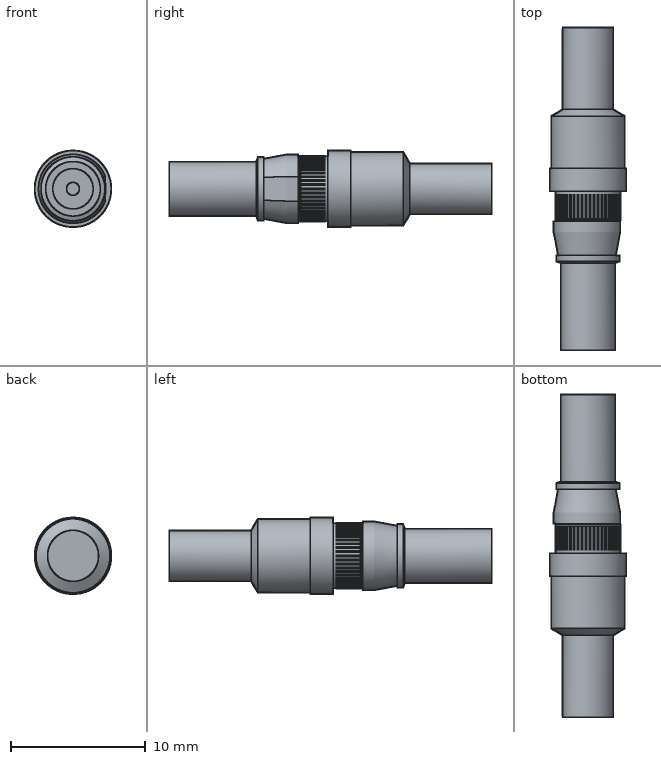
import cadquery as cq
import math

LENGTH = 24.0
FRONT_Y = -LENGTH / 2

TUBE_DIAMETER = 4.05
BORE_DIAMETER = 3.0
PIN_DIAMETER = 0.95
PIN_RECESS = 0.85
FLANGE_DIAMETER = 4.75
FLANGE_START = 6.48
FLANGE_BEVEL_LENGTH = 0.12
FLANGE_END = 7.05
BORE_DEPTH = FLANGE_START

TAPER_ANGLE = 10.5
COLLAR_DIAMETER = 5.14
COLLAR_START = 8.78
COLLAR_END = 9.6
COLLAR_FLAT_X = 2.4

RELIEF_DIAMETER = 4.8
RELIEF_END = 9.67
BAND_DIAMETER = 4.9
BAND_END = 9.8
NECK_DIAMETER = 4.85
RIB_DIAMETER = BAND_DIAMETER
RIB_START = 9.9
RIB_END = 11.57
RIB_WIDTH = 0.108
RIB_COUNT = 50

RIM_DIAMETER = 5.7
RIM_START = 11.8
RIM_END = 13.5
BODY_DIAMETER = 5.5
BODY_END = 17.4
SHOULDER_END = 17.9
TAIL_DIAMETER = 3.8


def cylinder(diameter, start, end):
    """Solid cylinder on the Y axis between two stations."""
    plane = cq.Workplane("XZ", origin=(0, FRONT_Y + start, 0))
    return plane.circle(diameter / 2).extrude(start - end)


def cone(start_diameter, start, end_diameter, end):
    """Solid cone frustum on the Y axis between two stations."""
    solid = cq.Solid.makeCone(
        start_diameter / 2,
        end_diameter / 2,
        end - start,
        pnt=cq.Vector(0, FRONT_Y + start, 0),
        dir=cq.Vector(0, 1, 0),
    )
    return cq.Workplane(solid)


def collar_outline():
    """D-shaped outline at the taper's wide end, with its flat on the +X side."""
    radius = COLLAR_DIAMETER / 2
    flat_half_height = math.sqrt(radius**2 - COLLAR_FLAT_X**2)
    return (
        cq.Workplane("XZ", origin=(0, FRONT_Y + COLLAR_START, 0))
        .moveTo(COLLAR_FLAT_X, flat_half_height)
        .threePointArc((-radius, 0), (COLLAR_FLAT_X, -flat_half_height))
        .close()
    )


def make_collar():
    """Collar and the taper in front of it, which shrinks the outline evenly."""
    collar = collar_outline().extrude(COLLAR_START - COLLAR_END)
    taper = collar_outline().extrude(COLLAR_START - FLANGE_END, taper=TAPER_ANGLE)
    return collar.union(taper)


def make_flange():
    """Flange whose front edge is bevelled down to the tube."""
    bevel_end = FLANGE_START + FLANGE_BEVEL_LENGTH
    bevel = cone(TUBE_DIAMETER, FLANGE_START, FLANGE_DIAMETER, bevel_end)
    return bevel.union(cylinder(FLANGE_DIAMETER, bevel_end, FLANGE_END))


def make_ribbed_neck():
    """Neck with evenly spaced lengthwise ribs, one of them on the +X side."""
    relief = cylinder(RELIEF_DIAMETER, COLLAR_END, RELIEF_END)
    band = cylinder(BAND_DIAMETER, RELIEF_END, BAND_END)
    neck = cylinder(NECK_DIAMETER, BAND_END, RIM_START)
    rib_height = (RIB_DIAMETER - NECK_DIAMETER) / 2
    ribs = (
        cq.Workplane("XZ", origin=(0, FRONT_Y + RIB_START, 0))
        .polarArray(NECK_DIAMETER / 2, 0, 360, RIB_COUNT)
        .rect(2 * rib_height, RIB_WIDTH)
        .extrude(RIB_START - RIB_END)
    )
    return relief.union(band).union(neck.union(ribs))


def make_rear():
    """Rim, body, conical shoulder and tail."""
    rim = cylinder(RIM_DIAMETER, RIM_START, RIM_END)
    body = cylinder(BODY_DIAMETER, RIM_END, BODY_END)
    shoulder = cone(BODY_DIAMETER, BODY_END, TAIL_DIAMETER, SHOULDER_END)
    tail = cylinder(TAIL_DIAMETER, SHOULDER_END, LENGTH)
    return rim.union(body).union(shoulder).union(tail)


def make_front_tube():
    """Hollow tube around a centre pin that stops short of the open end."""
    tube = cylinder(TUBE_DIAMETER, 0, FLANGE_START)
    bore = cylinder(BORE_DIAMETER, 0, BORE_DEPTH)
    pin = cylinder(PIN_DIAMETER, PIN_RECESS, FLANGE_END)
    return tube.cut(bore).union(pin)


result = (
    make_rear()
    .union(make_ribbed_neck())
    .union(make_collar())
    .union(make_flange())
    .union(make_front_tube())
)